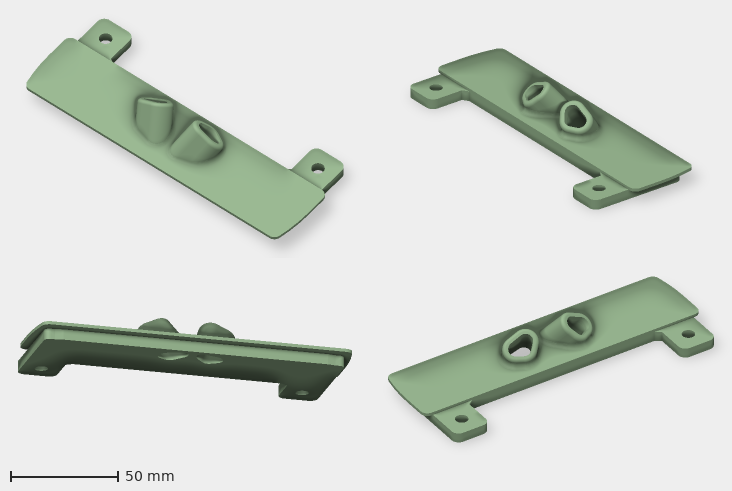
import cadquery as cq
import math

plate_length = 154.0
plate_depth = 37.0
plate_thickness = 1.5
plate_corner_radius = 3.7
side_straight = 15.4
side_taper = 2.6

base_length = 145.2
base_thickness = 5.1
base_front_y = -31.1
base_corner_radius = 2.6
step_depth = 0.6
step_start = 4.6
step_end = 8.5
tab_reach = 19.9
tab_width = 19.0
tab_corner_radius = 3.8
tab_hole_diameter = 6.3
tab_hole_setback = 9.9
web_length = 3.0
web_depth = 2.0

lean_back = 35.0
lean_out = 24.0
rim_origin = (-16.0, -11.9, 11.1)
corner_spacing = 6.0
corner_rise = 2.3
nozzle_radius = 6.3
bore_radius = 3.2
lead_in_flare = 0.3
lead_in_depth = 3.5
rim_fillet = 1.7
root_fillet = 2.0
tube_length = 38.5

edge_margin = 0.8
tolerance = 0.02


def make_plate():
    half_length = plate_length / 2
    front_half = half_length - side_taper
    bow_depth = plate_depth - side_straight
    bow_radius = (bow_depth**2 + side_taper**2) / (2 * side_taper)
    bow_mid_x = half_length - bow_radius + math.sqrt(bow_radius**2 - (bow_depth / 2) ** 2)
    bow_mid_y = -side_straight - bow_depth / 2
    body = (
        cq.Workplane("XY")
        .moveTo(-half_length, 0)
        .lineTo(half_length, 0)
        .lineTo(half_length, -side_straight)
        .threePointArc((bow_mid_x, bow_mid_y), (front_half, -plate_depth))
        .lineTo(-front_half, -plate_depth)
        .threePointArc((-bow_mid_x, bow_mid_y), (-half_length, -side_straight))
        .close()
        .extrude(plate_thickness)
    )
    return body.edges("|Z and (>Y or <Y)").fillet(plate_corner_radius)


def make_base():
    side_x = base_length / 2
    tab_inner_x = side_x - tab_width
    proud_front_y = base_front_y - step_depth
    right_half = [
        (0, proud_front_y),
        (side_x - step_end, proud_front_y),
        (side_x - step_start, base_front_y),
        (side_x, base_front_y),
        (side_x, tab_reach),
        (tab_inner_x, tab_reach),
        (tab_inner_x, web_depth),
        (tab_inner_x - web_length, 0),
        (0, 0),
    ]
    half = cq.Workplane("XY").polyline(right_half).close().extrude(-base_thickness)
    half = half.edges("|Z and >Y").fillet(tab_corner_radius)
    front_corner = cq.NearestToPointSelector((side_x, base_front_y, -base_thickness / 2))
    half = half.edges(front_corner).fillet(base_corner_radius)
    hole = (
        cq.Workplane("XY")
        .center(side_x - tab_width / 2, tab_reach - tab_hole_setback)
        .circle(tab_hole_diameter / 2)
        .extrude(-base_thickness)
    )
    half = half.cut(hole)
    return half.union(half.mirror("YZ"))


def make_tube(corner_radius, length, taper=0):
    """Upright rounded-triangle prism hanging down from its rim on Z = 0."""
    half_spacing = corner_spacing / 2
    corner_centers = [(-half_spacing, 0), (half_spacing, 0), (0, corner_rise)]
    section = cq.Workplane("XY").polyline(corner_centers).close().offset2D(corner_radius)
    return section.extrude(-length, taper=taper)


def lean_pair(tube):
    """Lean an upright tube into the left nozzle's place and add its mirror image."""
    left = (
        tube.rotate((0, 0, 0), (1, 0, 0), -lean_back)
        .rotate((0, 0, 0), (0, 1, 0), -lean_out)
        .translate(rim_origin)
    )
    return left.union(left.mirror("YZ"))


def make_nozzles():
    tubes = lean_pair(make_tube(nozzle_radius, tube_length).faces(">Z").edges().fillet(rim_fillet))
    space_above = (
        cq.Workplane("XY")
        .workplane(offset=plate_thickness / 2)
        .rect(plate_length, 2 * plate_depth)
        .extrude(tube_length)
    )
    return tubes.intersect(space_above)


def make_bores():
    lead_in_angle = math.degrees(math.atan2(lead_in_flare, lead_in_depth))
    lead_in = make_tube(bore_radius + lead_in_flare, lead_in_depth, lead_in_angle)
    return lean_pair(make_tube(bore_radius, tube_length).union(lead_in))


def fillet_nozzle_roots(body):
    limit_x = plate_length / 2 - edge_margin
    root_edges = cq.selectors.BoxSelector(
        (-limit_x, edge_margin - plate_depth, plate_thickness - tolerance),
        (limit_x, -edge_margin, plate_thickness + tolerance),
        boundingbox=True,
    )
    return body.edges(root_edges).fillet(root_fillet)


cover = fillet_nozzle_roots(make_plate().union(make_nozzles()))
result = cover.union(make_base()).cut(make_bores())